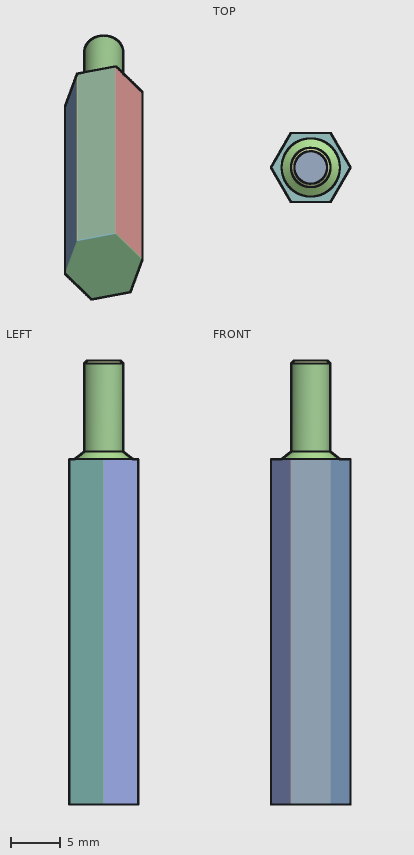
import cadquery as cq
import math

across_flats = 7.0
body_length = 35.0
body_edge_radius = 0.1

stud_diameter = 4.0
stud_length = 10.0
stud_chamfer_width = 0.35
stud_chamfer_height = 0.3

collar_diameter = 5.9
collar_height = 0.75

across_corners = across_flats / math.cos(math.pi / 6)
stud_radius = stud_diameter / 2
collar_radius = collar_diameter / 2
total_length = body_length + stud_length


def hexagonal_body():
    """Hexagonal bar standing on Z = 0, corners on the X axis, all edges lightly rounded."""
    bar = cq.Workplane("XY").polygon(6, across_corners).extrude(body_length)
    return bar.edges().fillet(body_edge_radius)


def stud_with_collar():
    """Round stud with a chamfered tip and a conical collar, revolved about the Z axis."""
    half_profile = (
        cq.Workplane("XZ")
        .moveTo(0, body_length)
        .lineTo(collar_radius, body_length)
        .lineTo(stud_radius, body_length + collar_height)
        .lineTo(stud_radius, total_length - stud_chamfer_height)
        .lineTo(stud_radius - stud_chamfer_width, total_length)
        .lineTo(0, total_length)
        .close()
    )
    return half_profile.revolve(360, (0, 0, 0), (0, 1, 0))


result = hexagonal_body().union(stud_with_collar())